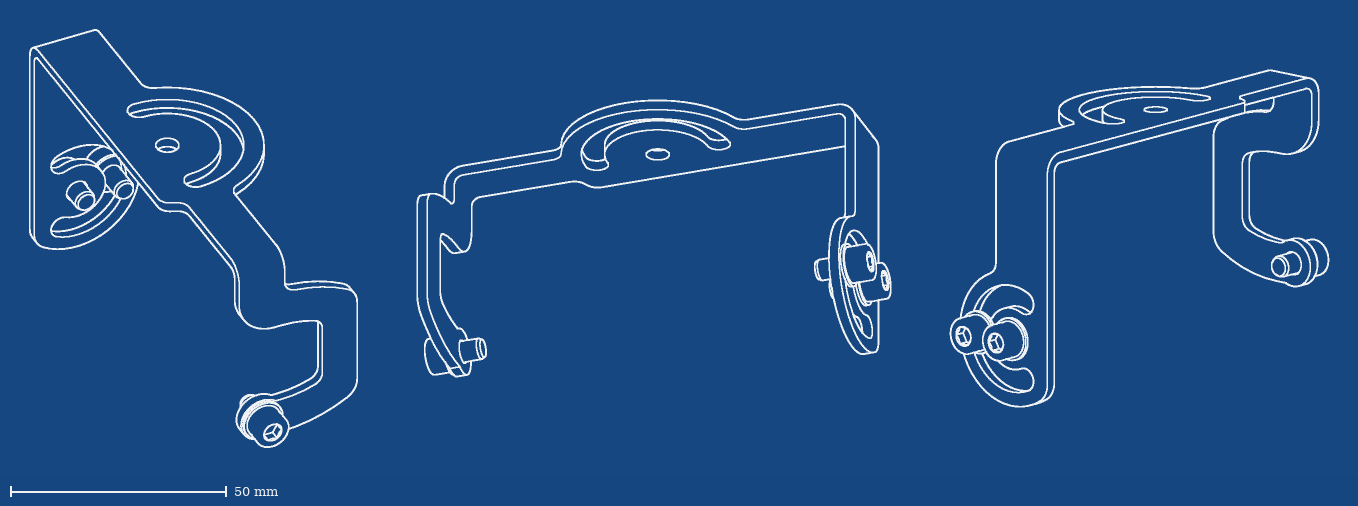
import cadquery as cq
import math

sheet = 2.5
bracket_length = 101.1
bend_inner = 2.0
bend_outer = bend_inner + sheet
leg_x = bracket_length / 2
plate_end_x = leg_x - bend_outer
bend_end_z = -bend_outer
edge_fillet = 3.0

pivot_z = -45.5

left_front_y = -11.0
left_back_y = 4.9
right_front_y = -6.0
right_back_y = 5.8

clearance = 5.4

top_disc_radius = 22.5
top_slot_radius = 15.0

left_disc_radius = 16.1
left_slot_radius = 10.0
left_slot_overrun = 23.5
left_foot_fillet = 5.0

arm_back_y = 24.5
arm_width = 9.0
arm_outer_radius = 34.9
arm_inner_radius = 25.6
arm_center_y = 5.0
arm_bottom_drop = 5.0
arm_outer_fillet = 5.0
arm_front_fillet = 9.2
boss_radius = 5.5
boss_fillet = 1.0

washer_diameter = 10.0
washer_thickness = 0.7
head_diameter = 8.5
head_height = 4.9
head_fillet = 0.5
socket_corner_diameter = 4.6
socket_depth = 2.5
countersink_depth = 0.3
shank_diameter = 4.9
shank_reach = 4.9
shank_chamfer_length = 0.8
shank_chamfer_depth = 0.3


def box(x_range, y_range, z_range):
    """Box between pairs of coordinates."""
    sizes = [b - a for a, b in (x_range, y_range, z_range)]
    return cq.Workplane().box(*sizes, centered=False).translate((x_range[0], y_range[0], z_range[0]))


def fillet_edges_near(body, points, direction, radius):
    """Fillet the edges parallel to a direction that lie nearest to the given points."""
    for point in points:
        body = body.edges(direction).edges(cq.selectors.NearestToPointSelector(point)).fillet(radius)
    return body


def curved_slot(plane, radius, start, end):
    """Cutter for a round-ended slot that follows an arc; angles in degrees from the plane's x axis."""
    def point(r, degrees):
        angle = math.radians(degrees)
        return (r * math.cos(angle), r * math.sin(angle))

    outer = radius + clearance / 2
    inner = radius - clearance / 2
    middle = (start + end) / 2
    sector = (
        cq.Workplane(plane)
        .moveTo(*point(outer, start))
        .threePointArc(point(outer, middle), point(outer, end))
        .lineTo(*point(inner, end))
        .threePointArc(point(inner, middle), point(inner, start))
        .close()
        .extrude(sheet)
    )
    ends = (
        cq.Workplane(plane)
        .pushPoints([point(radius, start), point(radius, end)])
        .circle(clearance / 2)
        .extrude(sheet)
    )
    return sector.union(ends)


def leg_plane(inner_x):
    """Plane at a leg's pivot with local x along +Y, local y along +Z and its normal along +X."""
    return cq.Plane(origin=(inner_x, 0, pivot_z), xDir=(0, 1, 0), normal=(1, 0, 0))


def make_top_plate():
    z_range = (-sheet, 0)
    plate_plane = cq.Plane.XY(origin=(0, 0, -sheet))
    disc = cq.Workplane(plate_plane).circle(top_disc_radius).extrude(sheet)
    disc = disc.intersect(
        box((-top_disc_radius, top_disc_radius), (left_front_y, top_disc_radius), z_range)
    )
    plate = (
        disc.union(box((-plate_end_x, 0), (left_front_y, left_back_y), z_range))
        .union(box((0, plate_end_x), (right_front_y, right_back_y), z_range))
    )

    def disc_point(y, side):
        return (side * math.sqrt(top_disc_radius**2 - y**2), y, -sheet / 2)

    corners = [disc_point(y, 1) for y in (left_front_y, right_front_y, right_back_y)]
    corners.append(disc_point(left_back_y, -1))
    plate = fillet_edges_near(plate, corners, "|Z", edge_fillet)
    pivot_hole = cq.Workplane(plate_plane).circle(clearance / 2).extrude(sheet)
    return plate.cut(pivot_hole).cut(curved_slot(plate_plane, top_slot_radius, 0, 180))


def make_bend(side, front_y, back_y):
    """Quarter-round bend joining the plate to a leg; side is -1 for left and +1 for right."""
    center = (side * plate_end_x, bend_end_z)

    def point(radius, degrees):
        angle = math.radians(degrees)
        return (center[0] + side * radius * math.cos(angle), center[1] + radius * math.sin(angle))

    return (
        cq.Workplane("XZ", origin=(0, back_y, 0))
        .moveTo(*point(bend_outer, 0))
        .threePointArc(point(bend_outer, 45), point(bend_outer, 90))
        .lineTo(*point(bend_inner, 90))
        .threePointArc(point(bend_inner, 45), point(bend_inner, 0))
        .close()
        .extrude(back_y - front_y)
    )


def make_left_leg():
    plane = leg_plane(-leg_x)
    x_range = (-leg_x, -leg_x + sheet)
    disc = cq.Workplane(plane).circle(left_disc_radius).extrude(sheet)
    disc = disc.intersect(
        box(x_range, (left_front_y, left_disc_radius), (pivot_z - left_disc_radius, bend_end_z))
    )
    leg = disc.union(box(x_range, (left_front_y, left_back_y), (pivot_z, bend_end_z)))
    middle_x = -leg_x + sheet / 2
    neck_z = pivot_z + math.sqrt(left_disc_radius**2 - left_back_y**2)
    foot_z = pivot_z - math.sqrt(left_disc_radius**2 - left_front_y**2)
    leg = fillet_edges_near(leg, [(middle_x, left_back_y, neck_z)], "|X", edge_fillet)
    leg = fillet_edges_near(leg, [(middle_x, left_front_y, foot_z)], "|X", left_foot_fillet)
    pivot_hole = cq.Workplane(plane).circle(clearance / 2).extrude(sheet)
    slot_end = 90 + left_slot_overrun
    slot = curved_slot(plane, left_slot_radius, -slot_end, slot_end)
    return leg.cut(pivot_hole).cut(slot)


def make_right_leg():
    plane = leg_plane(leg_x - sheet)
    middle_x = leg_x - sheet / 2
    arm_front_y = arm_back_y - arm_width
    lower_center = arm_outer_radius - arm_bottom_drop

    def sweep_height(radius, y):
        """Height of a sweep above its center at a given y."""
        return math.sqrt(radius**2 - (y - arm_center_y)**2)

    top = bend_end_z - pivot_z
    neck = sweep_height(arm_outer_radius, right_back_y)
    shoulder = sweep_height(arm_outer_radius, arm_back_y)
    inner_top = sweep_height(arm_inner_radius, arm_front_y)
    inner_bottom = lower_center - inner_top
    heel = lower_center - shoulder

    def arc_middle(radius, y_a, y_b, center, sign):
        """Point halfway along y on a sweep that bulges up (+1) or down (-1) from its center height."""
        y = (y_a + y_b) / 2
        return (y, center + sign * sweep_height(radius, y))

    leg = (
        cq.Workplane(plane)
        .moveTo(right_front_y, top)
        .lineTo(right_back_y, top)
        .lineTo(right_back_y, neck)
        .threePointArc(arc_middle(arm_outer_radius, right_back_y, arm_back_y, 0, 1), (arm_back_y, shoulder))
        .lineTo(arm_back_y, heel)
        .threePointArc(
            arc_middle(arm_outer_radius, arm_center_y, arm_back_y, lower_center, -1),
            (arm_center_y, -arm_bottom_drop),
        )
        .lineTo(0, -arm_bottom_drop)
        .lineTo(0, lower_center - arm_inner_radius)
        .lineTo(arm_center_y, lower_center - arm_inner_radius)
        .threePointArc(
            arc_middle(arm_inner_radius, arm_center_y, arm_front_y, lower_center, -1),
            (arm_front_y, inner_bottom),
        )
        .lineTo(arm_front_y, inner_top)
        .threePointArc(
            arc_middle(arm_inner_radius, arm_center_y, arm_front_y, 0, 1),
            (arm_center_y, arm_inner_radius),
        )
        .lineTo(right_front_y, arm_inner_radius)
        .close()
        .extrude(sheet)
    )
    leg = leg.union(cq.Workplane(plane).circle(boss_radius).extrude(sheet))

    def at(y, height):
        return (middle_x, y, pivot_z + height)

    boss_top = lower_center - arm_inner_radius
    boss_y = math.sqrt(boss_radius**2 - boss_top**2)
    leg = fillet_edges_near(leg, [at(right_back_y, neck)], "|X", edge_fillet)
    leg = fillet_edges_near(leg, [at(arm_back_y, shoulder), at(arm_back_y, heel)], "|X", arm_outer_fillet)
    leg = fillet_edges_near(leg, [at(arm_front_y, inner_top), at(arm_front_y, inner_bottom)], "|X", edge_fillet)
    leg = fillet_edges_near(leg, [at(right_front_y, arm_inner_radius)], "|X", arm_front_fillet)
    leg = fillet_edges_near(leg, [at(boss_y, boss_top)], "|X", boss_fillet)
    return leg.cut(cq.Workplane(plane).circle(clearance / 2).extrude(sheet))


def make_bracket():
    return (
        make_top_plate()
        .union(make_bend(-1, left_front_y, left_back_y))
        .union(make_bend(1, right_front_y, right_back_y))
        .union(make_left_leg())
        .union(make_right_leg())
    )


def outward_plane(side, y):
    """Plane on a leg's outer face at a screw axis, with its normal pointing away from the bracket."""
    return cq.Plane(origin=(side * leg_x, y, pivot_z), xDir=(0, 1, 0), normal=(side, 0, 0))


def make_washer(side, y):
    return (
        cq.Workplane(outward_plane(side, y))
        .circle(washer_diameter / 2)
        .circle(shank_diameter / 2)
        .extrude(washer_thickness)
    )


def make_screw(side, y):
    """Socket-head screw whose head sits on the washer."""
    seat = cq.Workplane(outward_plane(side, y)).workplane(offset=washer_thickness)
    outer_face = ">X" if side > 0 else "<X"
    tip_face = "<X" if side > 0 else ">X"
    head = seat.circle(head_diameter / 2).extrude(head_height)
    head = head.faces(outer_face).edges().fillet(head_fillet)
    socket = (
        seat.workplane(offset=head_height - socket_depth)
        .polygon(6, socket_corner_diameter)
        .extrude(socket_depth)
    )
    flats_diameter = socket_corner_diameter * math.cos(math.pi / 6)
    countersink = (
        seat.workplane(offset=head_height - countersink_depth)
        .circle(flats_diameter / 2)
        .workplane(offset=countersink_depth)
        .circle(socket_corner_diameter / 2)
        .loft()
    )
    shank_length = washer_thickness + sheet + shank_reach
    shank = seat.circle(shank_diameter / 2).extrude(-shank_length)
    shank = shank.faces(tip_face).chamfer(shank_chamfer_length, shank_chamfer_depth)
    return head.cut(socket).cut(countersink).union(shank)


fastener_places = [(-1, 0), (-1, left_slot_radius), (1, 0)]

bracket = make_bracket()
washers = [make_washer(side, y) for side, y in fastener_places]
screws = [make_screw(side, y) for side, y in fastener_places]

result = cq.Compound.makeCompound(
    [bracket.val()] + [washer.val() for washer in washers] + [screw.val() for screw in screws]
)